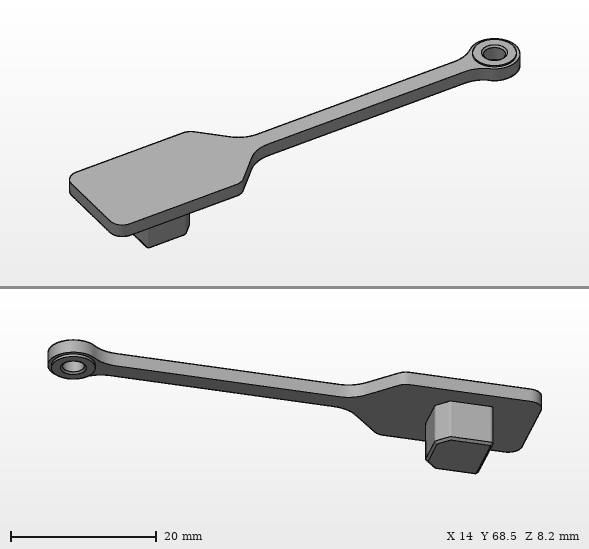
import cadquery as cq
import math

length = 68.5
thickness = 2.0

plate_width = 14.0
plate_corner_radius = 2.0
shoulder_y = 20.0

strap_width = 2.75
blend_radius = 5.0

ring_diameter = 7.0
collar_diameter = 6.0
collar_rise = 0.2
collar_drop = 0.4
hole_diameter = 3.0
hole_chamfer = 0.3

plug_width = 8.5
plug_depth = 7.9
plug_height = 6.0
plug_front_y = 6.5
plug_rear_chamfer = 1.7
plug_edge_radius = 0.5
plug_tip_chamfer = 0.35

ring_y = length - ring_diameter / 2
collar_height = collar_drop + thickness + collar_rise
pick_margin = 0.1


def make_flat_body():
    """Flat body: plate, tapered shoulders, strap and ring, with blends between them."""
    half_plate = plate_width / 2
    half_strap = strap_width / 2
    strap_y = shoulder_y + half_plate - half_strap
    plate = (
        cq.Workplane("XY")
        .polyline([
            (-half_plate, 0),
            (half_plate, 0),
            (half_plate, shoulder_y),
            (half_strap, strap_y),
            (half_strap, ring_y),
            (-half_strap, ring_y),
            (-half_strap, strap_y),
            (-half_plate, shoulder_y),
        ])
        .close()
        .extrude(thickness)
    )

    for y in (0, shoulder_y):
        plate = round_corner_pair(plate, half_plate, y, plate_corner_radius)
    plate = round_corner_pair(plate, half_strap, strap_y, blend_radius)

    return plate.union(make_neck()).union(make_disc(ring_diameter, 0, thickness))


def round_corner_pair(plate, x, y, radius):
    """Fillet the two upright plate edges at (-x, y) and (x, y)."""
    corners = cq.selectors.BoxSelector(
        (-x - pick_margin, y - pick_margin, -pick_margin),
        (x + pick_margin, y + pick_margin, thickness + pick_margin),
    )
    return plate.edges("|Z").edges(corners).fillet(radius)


def make_neck():
    """Concave flare between strap and ring, bounded by arcs tangent to both."""
    ring_radius = ring_diameter / 2
    arc_x = strap_width / 2 + blend_radius
    centre_distance = ring_radius + blend_radius
    arc_y = ring_y - math.sqrt(centre_distance**2 - arc_x**2)
    ring_share = ring_radius / centre_distance
    touch_x = arc_x * ring_share
    touch_y = ring_y + (arc_y - ring_y) * ring_share
    mid_angle = math.atan2(ring_y - arc_y, arc_x) / 2
    mid_x = arc_x - blend_radius * math.cos(mid_angle)
    mid_y = arc_y + blend_radius * math.sin(mid_angle)
    return (
        cq.Workplane("XY")
        .moveTo(-strap_width / 2, arc_y)
        .lineTo(strap_width / 2, arc_y)
        .threePointArc((mid_x, mid_y), (touch_x, touch_y))
        .lineTo(0, ring_y)
        .lineTo(-touch_x, touch_y)
        .threePointArc((-mid_x, mid_y), (-strap_width / 2, arc_y))
        .close()
        .extrude(thickness)
    )


def make_disc(diameter, bottom, height):
    """Disc concentric with the ring."""
    return cq.Workplane("XY", origin=(0, ring_y, bottom)).circle(diameter / 2).extrude(height)


def make_collar():
    """Collar standing proud of both ring faces."""
    return make_disc(collar_diameter, -collar_drop, collar_height)


def make_hole():
    """Ring hole with a chamfered mouth at both ends."""
    hole_radius = hole_diameter / 2
    mouth_radius = hole_radius + hole_chamfer
    hole = make_disc(hole_diameter, -collar_drop, collar_height)
    top_mouth = cq.Solid.makeCone(
        hole_radius, mouth_radius, hole_chamfer,
        cq.Vector(0, ring_y, thickness + collar_rise - hole_chamfer),
    )
    bottom_mouth = cq.Solid.makeCone(
        mouth_radius, hole_radius, hole_chamfer, cq.Vector(0, ring_y, -collar_drop),
    )
    return hole.union(cq.Workplane(top_mouth)).union(cq.Workplane(bottom_mouth))


def make_plug():
    """Block below the plate with chamfered rear corners, rounded edges and a chamfered tip."""
    centre_y = plug_front_y + plug_depth / 2
    return (
        cq.Workplane("XY", origin=(0, centre_y, 0))
        .rect(plug_width, plug_depth)
        .extrude(-plug_height)
        .edges("|Z and >Y")
        .chamfer(plug_rear_chamfer)
        .edges("|Z")
        .fillet(plug_edge_radius)
        .faces("<Z")
        .chamfer(plug_tip_chamfer)
    )


result = make_flat_body().union(make_collar()).cut(make_hole()).union(make_plug())